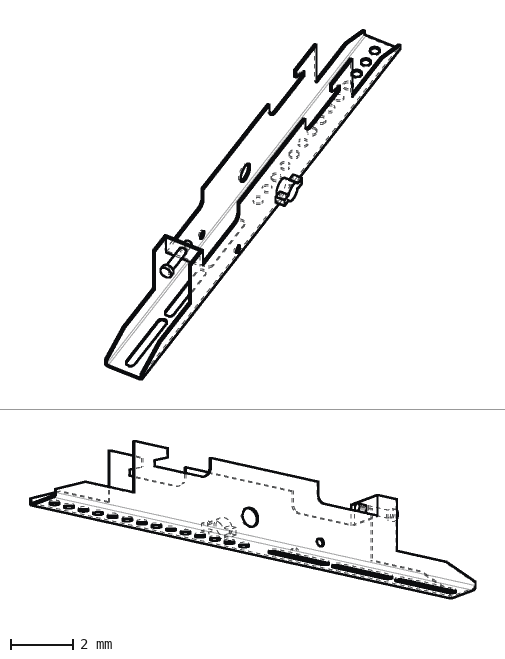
import cadquery as cq

length = 17.0
width = 1.4
height = 2.45
sheet = 0.076
bend_radius = 0.128
half_length = length / 2
half_width = width / 2
inner_width = width - 2 * sheet

end_height = 0.25
shelf_height = 0.71
ramp_length = 1.19
post_y = 5.32
notch_floor = 1.75
hook_tip_y = 3.98
hook_tip_z = 2.15
hook_root_y = 4.5
hook_root_z = 1.95
block_back_y = 2.23
block_front_y = -2.12
back_notch_radius = 0.4
front_notch_radius = 0.25
tab_y = -4.52

access_y = 0.63
access_z = 0.75
access_diameter = 0.63
pin_hole_y = -2.21
pin_hole_z = 0.42
pin_hole_diameter = 0.27

floor_hole_count = 14
floor_hole_diameter = 0.32
floor_hole_first_y = 8.04
floor_hole_last_y = 0.35
slot_centres = (-1.87, -4.44, -7.0)
slot_length = 2.38
slot_width = 0.3

screw_depth = 0.3
screw_z = height - screw_depth
screw_diameter = 0.25
screw_tip_y = -4.23
screw_head_diameter = 0.4
screw_head_y = -5.58
screw_head_length = 0.15

knob_diameter = 0.65
knob_length = 0.45
wing_span = 1.15
wing_height = 0.25
wing_gap = 0.12


def make_outer_block():
    """Solid block across the full width with the side wall outline."""
    ramp_y = half_length - ramp_length
    return (
        cq.Workplane("YZ", origin=(-half_width, 0, 0))
        .moveTo(-half_length, 0)
        .lineTo(half_length, 0)
        .lineTo(half_length, end_height)
        .lineTo(ramp_y, shelf_height)
        .lineTo(post_y, shelf_height)
        .lineTo(post_y, height)
        .lineTo(hook_tip_y, height)
        .lineTo(hook_tip_y, hook_tip_z)
        .lineTo(hook_root_y, hook_root_z)
        .lineTo(hook_root_y, notch_floor)
        .lineTo(block_back_y + back_notch_radius, notch_floor)
        .radiusArc((block_back_y, notch_floor + back_notch_radius), back_notch_radius)
        .lineTo(block_back_y, height)
        .lineTo(block_front_y, height)
        .lineTo(block_front_y, notch_floor + front_notch_radius)
        .radiusArc((block_front_y - front_notch_radius, notch_floor), front_notch_radius)
        .lineTo(tab_y, notch_floor)
        .lineTo(tab_y, height)
        .lineTo(-post_y, height)
        .lineTo(-post_y, shelf_height)
        .lineTo(-ramp_y, shelf_height)
        .lineTo(-half_length, end_height)
        .close()
        .extrude(width)
    )


def make_channel():
    """Bent floor and two walls: the solid block hollowed from above."""
    outside = make_outer_block().edges("|Y and <Z").fillet(bend_radius)
    hollow = (
        cq.Workplane("XY", origin=(0, 0, sheet))
        .box(inner_width, length, height, centered=(True, True, False))
        .edges("|Y and <Z")
        .fillet(bend_radius - sheet)
    )
    return outside.cut(hollow)


def make_tab():
    """Cross tab joining the two walls above the notch floor."""
    return cq.Workplane("XY", origin=(0, tab_y - sheet / 2, notch_floor)).box(
        width - sheet, sheet, height - notch_floor, centered=(True, True, False)
    )


def make_screw():
    """Screw along Y with its head on the -Y end."""
    head_plane = cq.Workplane("XZ", origin=(0, screw_head_y, screw_z))
    head = head_plane.circle(screw_head_diameter / 2).extrude(screw_head_length)
    shank = head_plane.circle(screw_diameter / 2).extrude(screw_head_y - screw_tip_y)
    return head.union(shank)


def make_knob():
    """Round knob on the +X wall with a flat bar across it."""
    barrel = (
        cq.Workplane("YZ", origin=(half_width, access_y, access_z))
        .circle(knob_diameter / 2)
        .extrude(knob_length)
    )
    wings = cq.Workplane("XY", origin=(half_width + wing_gap, access_y, access_z)).box(
        knob_length - wing_gap, wing_span, wing_height, centered=(False, True, True)
    )
    return barrel.union(wings)


def make_floor_openings():
    """Row of round holes and row of slots, cut through the floor."""
    depth = 2 * sheet
    pitch = (floor_hole_first_y - floor_hole_last_y) / (floor_hole_count - 1)
    hole_points = [(0, floor_hole_first_y - i * pitch) for i in range(floor_hole_count)]
    slot_points = [(0, y) for y in slot_centres]
    below_floor = cq.Workplane("XY", origin=(0, 0, -sheet / 2))
    holes = below_floor.pushPoints(hole_points).circle(floor_hole_diameter / 2).extrude(depth)
    slots = below_floor.pushPoints(slot_points).slot2D(slot_length, slot_width, 90).extrude(depth)
    return holes.union(slots)


def make_wall_openings():
    """Access hole in the -X wall only, and a pin hole through both walls."""
    outer_plane = cq.Workplane("YZ", origin=(-width, 0, 0))
    access = outer_plane.center(access_y, access_z).circle(access_diameter / 2).extrude(width)
    pin = outer_plane.center(pin_hole_y, pin_hole_z).circle(pin_hole_diameter / 2).extrude(2 * width)
    return access.union(pin)


body = make_channel().union(make_tab())
body = body.cut(make_floor_openings()).cut(make_wall_openings())
result = body.union(make_screw()).union(make_knob())